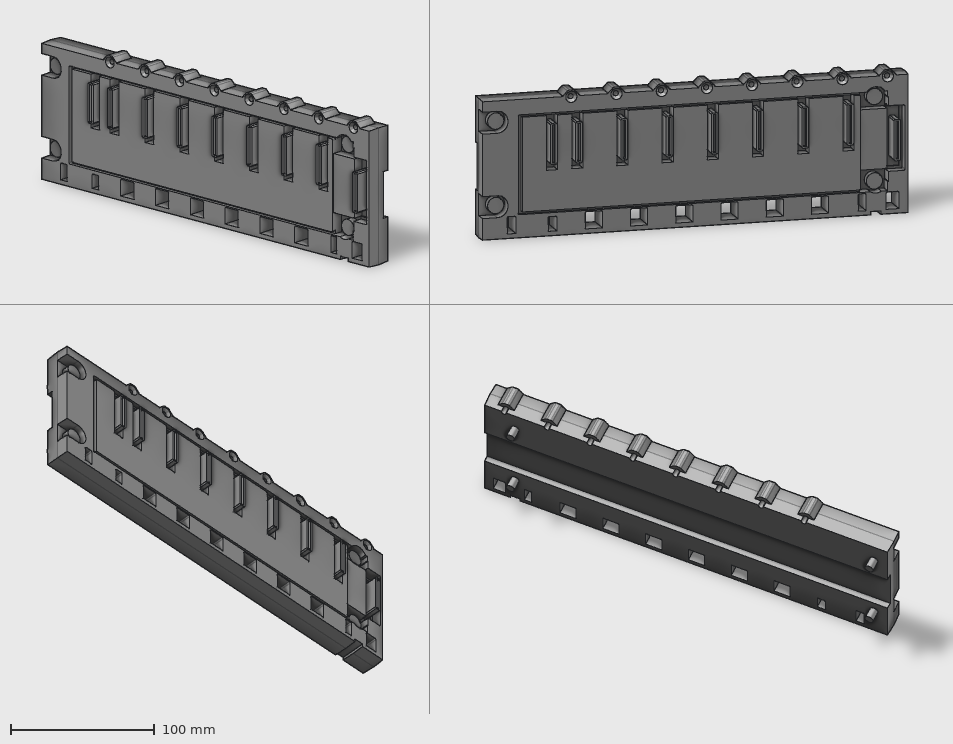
import cadquery as cq

LENGTH = 308.0
HEIGHT = 99.8
SEAM_Y = 9.2
BACK_Y = 19.5
DRAFT_ANGLE = 2.5
SLOT_PITCH = 32.5

CHANNEL_Y = 14.8
CHANNEL_BOTTOM = 32.5
CHANNEL_TOP = 66.5

SCREW_XS = (10.8, 284.3)
SCREW_ZS = (23.7, 84.0)
HEAD_RADIUS = 6.0
HEAD_Y = 3.7
SHANK_RADIUS = 3.0
SHANK_END_Y = 27.7
SCREW_RECESS_WIDTH = 15.7
SCREW_RECESS_RADIUS = SCREW_RECESS_WIDTH / 2
SCREW_RECESS_WIDENING = 0.5

GROOVE_DEPTH = 3.0
FRAME_LEFT = 26.2
FRAME_RIGHT = 292.5
FRAME_BOTTOM = 17.0
FRAME_TOP = 88.5
PANEL_LEFT = 29.0
PANEL_RIGHT = 273.2
PANEL_BOTTOM = 18.8
PANEL_TOP = 86.5
PANEL_CORNER = 1.0

BLOCK_Y = 1.2
BLOCK_BOTTOM = 32.5
BLOCK_TOP = 75.8

FIRST_CONNECTOR_X = 50.5
MODULE_X = 68.7
MODULE_COUNT = 7
CONNECTOR_TOP = 82.0
CONNECTOR_LENGTH = 29.5
CONNECTOR_WIDTH = 5.0
CONNECTOR_FRONT_Y = -4.5
CONNECTOR_CHAMFER = 1.0
CONTACT_WIDTH = 2.0
CONTACT_MARGIN = 1.2
CONTACT_DEPTH = 3.0
POCKET_WIDTH = 8.0
POCKET_BOTTOM = 47.5

EXPANSION_X = 298.5
EXPANSION_TOP = 68.7
EXPANSION_STEP_Y = 7.7
EXPANSION_STEP_RIGHT = 305.2
EXPANSION_STEP_BOTTOM = 30.8
EXPANSION_STEP_TOP = 77.5
EXPANSION_FLOOR_RIGHT = 303.0

WINDOW_BOTTOM = 3.7
WINDOW_TOP = 16.0
WINDOW_CORNER = 1.0
WINDOW_WIDTH = 12.3
WINDOW_X = 80.7
WINDOW_COUNT = 6
LOW_WINDOW_TOP = 14.2
SIDE_WINDOWS = (
    (18.2, 24.3, WINDOW_TOP),
    (47.7, 54.0, LOW_WINDOW_TOP),
    (271.7, 277.2, WINDOW_TOP),
    (291.7, 301.0, WINDOW_TOP),
)
NOTCH_WIDTH = 7.5
NOTCH_HEIGHT = 2.8

BOSS_X = 64.5
BOSS_COUNT = 8
BOSS_TOP = 103.8
BOSS_BACK_Y = 15.5
BOSS_FOOT_HALF_WIDTH = 6.2
BOSS_CREST_HALF_WIDTH = 2.2
BOSS_CREST_RADIUS = 2.2
BOSS_SINK = 2.0
BOSS_HOLE_Z = 99.0
BOSS_HOLE_RADIUS = 2.0
COUNTERSINK_RADIUS = 4.0


def box(left, right, front, back, bottom, top):
    """Box given by its six sides."""
    size = (right - left, back - front, top - bottom)
    return cq.Workplane("XY").box(*size, centered=False).translate((left, front, bottom))


def rod(x, z, radius, front, back):
    """Cylinder along Y."""
    cylinder = cq.Solid.makeCylinder(radius, back - front, cq.Vector(x, front, z), cq.Vector(0, 1, 0))
    return cq.Workplane(cylinder)


def shell(depth):
    """Drafted half of the housing; a negative depth runs towards the back."""
    outline = cq.Workplane("XZ", origin=(LENGTH / 2, SEAM_Y, HEIGHT / 2)).rect(LENGTH, HEIGHT)
    return outline.extrude(depth, taper=DRAFT_ANGLE)


def make_body():
    body = shell(SEAM_Y).union(shell(SEAM_Y - BACK_Y))
    return body.cut(box(0, LENGTH, CHANNEL_Y, BACK_Y, CHANNEL_BOTTOM, CHANNEL_TOP))


def panel_groove():
    """Groove around the panel, with the block left standing a little below the panel face."""
    frame = box(FRAME_LEFT, FRAME_RIGHT, 0, GROOVE_DEPTH, FRAME_BOTTOM, FRAME_TOP)
    panel = box(PANEL_LEFT, PANEL_RIGHT, 0, GROOVE_DEPTH, PANEL_BOTTOM, PANEL_TOP)
    block = box(PANEL_RIGHT, FRAME_RIGHT, BLOCK_Y, GROOVE_DEPTH, BLOCK_BOTTOM, BLOCK_TOP)
    rounded_frame = frame.edges("|Y").fillet(PANEL_CORNER)
    rounded_panel = panel.edges("|Y and >X").fillet(PANEL_CORNER)
    return rounded_frame.cut(rounded_panel).cut(block)


def left_screw_recess(z):
    """Round-ended recess that runs out of the left end."""
    x = SCREW_XS[0]
    channel = box(0, x, 0, SEAM_Y, z - SCREW_RECESS_RADIUS, z + SCREW_RECESS_RADIUS)
    return channel.union(rod(x, z, SCREW_RECESS_RADIUS, 0, SEAM_Y))


def right_screw_recess(z, frame_edge, block_edge):
    """Recess between the frame and the block, rounded and widened around the screw."""
    x = SCREW_XS[1]
    corner = box(PANEL_RIGHT, FRAME_RIGHT, 0, SEAM_Y,
                 min(frame_edge, block_edge), max(frame_edge, block_edge))
    widening = box(x, FRAME_RIGHT + SCREW_RECESS_WIDENING, 0, SEAM_Y,
                   min(z, block_edge), max(z, block_edge))
    return corner.union(widening).union(rod(x, z, SCREW_RECESS_RADIUS, 0, SEAM_Y))


def screw(x, z):
    head = rod(x, z, HEAD_RADIUS, HEAD_Y, SEAM_Y)
    return head.union(rod(x, z, SHANK_RADIUS, SEAM_Y, SHANK_END_Y))


def connector(x, top):
    """Upright plug standing on the pocket floor, with a slit for the contacts."""
    bottom = top - CONNECTOR_LENGTH
    half_width = CONNECTOR_WIDTH / 2
    half_slit = CONTACT_WIDTH / 2
    plug = box(x - half_width, x + half_width, CONNECTOR_FRONT_Y, SEAM_Y, bottom, top)
    plug = plug.edges("|Y").chamfer(CONNECTOR_CHAMFER)
    slit = box(x - half_slit, x + half_slit, CONNECTOR_FRONT_Y, CONNECTOR_FRONT_Y + CONTACT_DEPTH,
               bottom + CONTACT_MARGIN, top - CONTACT_MARGIN)
    return plug.cut(slit)


def connector_pocket(x):
    half_width = POCKET_WIDTH / 2
    return box(x - half_width, x + half_width, 0, SEAM_Y, POCKET_BOTTOM, PANEL_TOP)


def expansion_pocket():
    """Pocket beside the block, with a narrow step just above its floor."""
    step = box(FRAME_RIGHT, EXPANSION_STEP_RIGHT, 0, EXPANSION_STEP_Y,
               EXPANSION_STEP_BOTTOM, EXPANSION_STEP_TOP)
    floor = box(FRAME_RIGHT, EXPANSION_FLOOR_RIGHT, 0, SEAM_Y, BLOCK_BOTTOM, BLOCK_TOP)
    return step.edges("|Y and >X").fillet(PANEL_CORNER).union(floor)


def window(left, right, top):
    """Through opening with rounded upper corners."""
    opening = box(left, right, 0, BACK_Y, WINDOW_BOTTOM, top)
    return opening.edges("|Y and >Z").fillet(WINDOW_CORNER)


def boss(x):
    """Roof-shaped boss with a rounded crest on the top edge."""
    foot_z = HEIGHT - BOSS_SINK
    slope_foot_z = BOSS_TOP - (BOSS_FOOT_HALF_WIDTH - BOSS_CREST_HALF_WIDTH)
    outline = [
        (-BOSS_FOOT_HALF_WIDTH, foot_z),
        (BOSS_FOOT_HALF_WIDTH, foot_z),
        (BOSS_FOOT_HALF_WIDTH, slope_foot_z),
        (BOSS_CREST_HALF_WIDTH, BOSS_TOP),
        (-BOSS_CREST_HALF_WIDTH, BOSS_TOP),
        (-BOSS_FOOT_HALF_WIDTH, slope_foot_z),
    ]
    prism = cq.Workplane("XZ", origin=(x, 0, 0)).polyline(outline).close().extrude(-BOSS_BACK_Y)
    return prism.edges("|Y and >Z").fillet(BOSS_CREST_RADIUS)


def boss_hole(x):
    """Through hole with a 45 degree countersink at the front."""
    depth = COUNTERSINK_RADIUS - BOSS_HOLE_RADIUS
    cone = cq.Solid.makeCone(COUNTERSINK_RADIUS, BOSS_HOLE_RADIUS, depth,
                             cq.Vector(x, 0, BOSS_HOLE_Z), cq.Vector(0, 1, 0))
    return rod(x, BOSS_HOLE_Z, BOSS_HOLE_RADIUS, 0, BACK_Y).union(cq.Workplane(cone))


connector_xs = [FIRST_CONNECTOR_X]
connector_xs += [MODULE_X + i * SLOT_PITCH for i in range(MODULE_COUNT)]
boss_xs = [BOSS_X + i * SLOT_PITCH for i in range(BOSS_COUNT)]
window_xs = [WINDOW_X + i * SLOT_PITCH for i in range(WINDOW_COUNT)]

result = make_body()

for boss_x in boss_xs:
    result = result.union(boss(boss_x)).cut(boss_hole(boss_x))

result = result.cut(panel_groove()).cut(expansion_pocket())
for screw_z in SCREW_ZS:
    result = result.cut(left_screw_recess(screw_z))
result = result.cut(right_screw_recess(SCREW_ZS[0], FRAME_BOTTOM, BLOCK_BOTTOM))
result = result.cut(right_screw_recess(SCREW_ZS[1], FRAME_TOP, BLOCK_TOP))

for window_x in window_xs:
    result = result.cut(window(window_x - WINDOW_WIDTH / 2, window_x + WINDOW_WIDTH / 2, WINDOW_TOP))
for left_edge, right_edge, top_edge in SIDE_WINDOWS:
    result = result.cut(window(left_edge, right_edge, top_edge))
notch_left = SCREW_XS[1] - NOTCH_WIDTH / 2
result = result.cut(box(notch_left, notch_left + NOTCH_WIDTH, 0, BACK_Y, 0, NOTCH_HEIGHT))

for connector_x in connector_xs:
    result = result.cut(connector_pocket(connector_x)).union(connector(connector_x, CONNECTOR_TOP))
result = result.union(connector(EXPANSION_X, EXPANSION_TOP))
for screw_x in SCREW_XS:
    for screw_z in SCREW_ZS:
        result = result.union(screw(screw_x, screw_z))